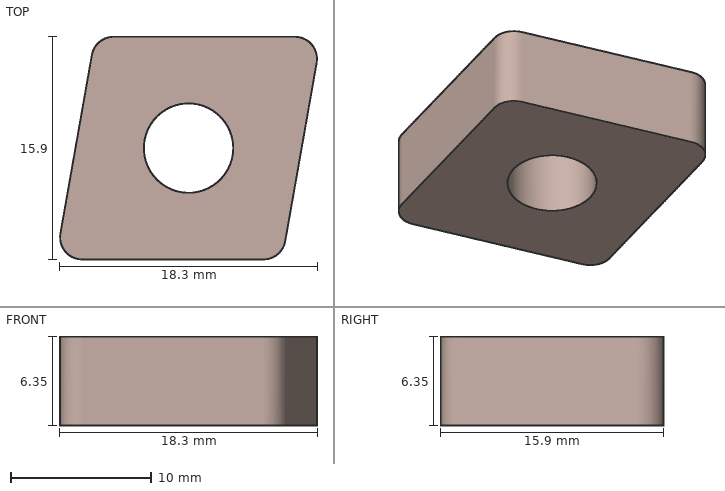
import cadquery as cq
import math

inscribed_circle = 15.875
corner_angle = 80.0
corner_radius = 1.5875
thickness = 6.35
hole_diameter = 6.35

half_height = inscribed_circle / 2
half_side = half_height / math.sin(math.radians(corner_angle))
lean = half_height / math.tan(math.radians(corner_angle))


def rhombic_body():
    """Rhombic plate centred on the Z axis, with its four upright edges rounded."""
    corners = [
        (-half_side - lean, -half_height),
        (half_side - lean, -half_height),
        (half_side + lean, half_height),
        (-half_side + lean, half_height),
    ]
    plate = cq.Workplane("XY").polyline(corners).close().extrude(thickness)
    return plate.edges("|Z").fillet(corner_radius)


def clamping_hole():
    """Cylinder that cuts the central hole through the full thickness."""
    return cq.Workplane("XY").circle(hole_diameter / 2).extrude(thickness)


result = rhombic_body().cut(clamping_hole())